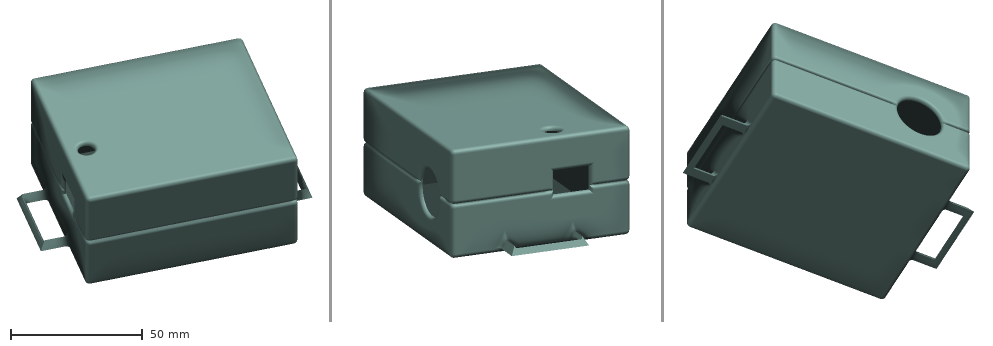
import cadquery as cq
import math

CASE_X = 74.2
CASE_Y = 84.0
CASE_Z = 43.2
PARTING_Z = CASE_Z / 2
WALL = 1.6
CORNER_D = 3.3
CORNER_R = CORNER_D / 2
MOUTH_D = 3.0
MOUTH_R = MOUTH_D / 2

PORT_D = 18.8
PORT_Y = -20.5
PORT_Z = 20.0

WINDOW_WIDTH = 15.0
WINDOW_HEIGHT = 9.7
WINDOW_X = 12.9
WINDOW_Z = 24.6

TOP_HOLE_D = 6.5
TOP_HOLE_X = 8.4
TOP_HOLE_Y = -33.3

CUT_DEPTH = 3 * WALL

LOOP_WIDTH = 32.0
LOOP_SPAN = 107.5
LOOP_FRONT_REACH = 11.3
LOOP_X = -1.1
LOOP_Y = LOOP_SPAN / 2 - LOOP_FRONT_REACH - CASE_Y / 2
LOOP_Z = 2.0
SIDE_BAR_WIDTH = 3.9
END_BAR_WIDTH = 2.8
BAR_LEAN = math.radians(30)
BAR_SLOPE = math.tan(BAR_LEAN)
SIDE_BAR_HEIGHT = SIDE_BAR_WIDTH / 2 / BAR_SLOPE
LOOP_ROOT_R = 1.6


def case_half(bottom_z, top_z, outer_face, parting_face):
    """Solid half of the case with all of its edges rounded."""
    block = cq.Workplane("XY", origin=(0, 0, bottom_z)).rect(CASE_X, CASE_Y).extrude(top_z - bottom_z)
    block = block.edges("|Z").fillet(CORNER_R)
    block = block.faces(outer_face).edges().fillet(CORNER_R)
    return block.faces(parting_face).edges().fillet(MOUTH_R)


def cavity():
    """Inside space shared by the two halves."""
    inside = cq.Workplane("XY").box(CASE_X - 2 * WALL, CASE_Y - 2 * WALL, CASE_Z - 2 * WALL)
    return inside.translate((0, 0, CASE_Z / 2))


def mouth_profile(plane, half_width):
    """Half outline of an opening with a rounded mouth: local x across it, local y into the wall."""
    arc_middle = MOUTH_R * (1 - math.sqrt(0.5))
    return (
        cq.Workplane(plane)
        .lineTo(half_width + MOUTH_R, 0)
        .threePointArc((half_width + arc_middle, arc_middle), (half_width, MOUTH_R))
        .lineTo(half_width, CUT_DEPTH)
        .lineTo(0, CUT_DEPTH)
    )


def flared_bore(plane, diameter):
    """Round cutter with a rounded mouth, running along the local y of the plane."""
    return mouth_profile(plane, diameter / 2).close().revolve(360, (0, 0), (0, 1))


def flared_slab(plane, width, length):
    """Slab cutter with a rounded mouth along its two long sides."""
    return mouth_profile(plane, width / 2).mirrorY().extrude(length / 2, both=True)


def port_cutter():
    inward = cq.Plane(origin=(-CASE_X / 2, PORT_Y, PORT_Z), xDir=(0, -1, 0), normal=(0, 0, 1))
    return flared_bore(inward, PORT_D)


def window_cutter():
    """Crossing of two flared slabs, which mitres the rounded mouth at its corners."""
    centre = (WINDOW_X, -CASE_Y / 2, WINDOW_Z)
    level = cq.Plane(origin=centre, xDir=(1, 0, 0), normal=(0, 0, 1))
    upright = cq.Plane(origin=centre, xDir=(0, 0, -1), normal=(1, 0, 0))
    slab_length = 2 * WINDOW_WIDTH
    sides = flared_slab(level, WINDOW_WIDTH, slab_length)
    top_and_bottom = flared_slab(upright, WINDOW_HEIGHT, slab_length)
    return sides.intersect(top_and_bottom)


def top_hole_cutter():
    downward = cq.Plane(origin=(TOP_HOLE_X, TOP_HOLE_Y, CASE_Z), xDir=(1, 0, 0), normal=(0, 1, 0))
    return flared_bore(downward, TOP_HOLE_D)


def sloped_block(width, span, slope):
    """Block on the loop underside whose four sides lean outward by the given slope."""
    height = 2 * SIDE_BAR_HEIGHT
    growth = 2 * height * slope
    return (
        cq.Workplane("XY", origin=(LOOP_X, LOOP_Y, LOOP_Z))
        .rect(width, span)
        .workplane(offset=height)
        .rect(width + growth, span + growth)
        .loft(ruled=True)
    )


def strap_frame():
    """Ring of triangular bars; its two ends stick out of the case as strap loops."""
    outside = sloped_block(LOOP_WIDTH, LOOP_SPAN, -BAR_SLOPE)
    opening_width = LOOP_WIDTH - 2 * SIDE_BAR_WIDTH
    opening_span = LOOP_SPAN - 2 * END_BAR_WIDTH
    return outside.cut(sloped_block(opening_width, opening_span, BAR_SLOPE))


def blended_face(ridge_x, side, end):
    """Slab behind one bar face, flaring into the case wall with a concave round.

    side is the X direction the face looks to, end the Y direction the bar sticks out to.
    """
    facing = cq.Vector(side * math.cos(BAR_LEAN), 0, math.sin(BAR_LEAN))
    outward = cq.Vector(0, end, 0)
    ridge_foot = (ridge_x, end * CASE_Y / 2, LOOP_Z + SIDE_BAR_HEIGHT)
    plane = cq.Plane(origin=ridge_foot, xDir=facing, normal=facing.cross(outward))
    reach = 2 * SIDE_BAR_WIDTH
    arc_middle = LOOP_ROOT_R * (1 - math.sqrt(0.5))
    return (
        cq.Workplane(plane)
        .moveTo(-reach, 0)
        .lineTo(LOOP_ROOT_R, 0)
        .threePointArc((arc_middle, arc_middle), (0, LOOP_ROOT_R))
        .lineTo(-reach, LOOP_ROOT_R)
        .close()
        .extrude(reach, both=True)
    )


def loop_root(ridge_x, end):
    """Flared foot of one side bar, flush with the underside of the loop."""
    foot = blended_face(ridge_x, -1, end).intersect(blended_face(ridge_x, 1, end))
    above_underside = cq.Workplane("XY", origin=(0, 0, LOOP_Z)).rect(CASE_X, LOOP_SPAN).extrude(CASE_Z)
    return foot.intersect(above_underside)


def build_base():
    base = case_half(0, PARTING_Z, "<Z", ">Z").union(strap_frame())
    ridge_offset = (LOOP_WIDTH - SIDE_BAR_WIDTH) / 2
    for ridge_x in (LOOP_X - ridge_offset, LOOP_X + ridge_offset):
        for end in (-1, 1):
            base = base.union(loop_root(ridge_x, end))
    return base.cut(cavity()).cut(port_cutter()).cut(window_cutter())


def build_lid():
    lid = case_half(PARTING_Z, CASE_Z, ">Z", "<Z")
    return lid.cut(cavity()).cut(port_cutter()).cut(window_cutter()).cut(top_hole_cutter())


base = build_base()
lid = build_lid()

result = cq.Compound.makeCompound([base.solids().val(), lid.solids().val()])